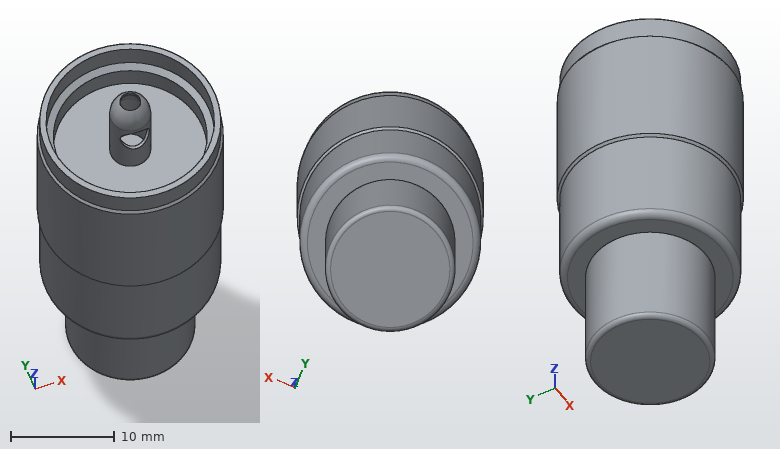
import cadquery as cq

total_height = 41.5
neck_radius = 6.25
neck_top = 11.37
neck_fillet = 0.5
body_radius = 8.75
body_fillet = 0.75
band_radius = 9.0
band_bottom = 21.85
band_top = 35.6
band_chamfer = band_radius - body_radius
rim_height = 37.97

mouth_radius = 8.15
mouth_depth = 2.45
recess_radius = 7.43
taper_height = 0.37
recess_depth = 5.15

pin_radius = 2.0
pin_wall = 0.35
nose_base = total_height - 2.15
tip_hole_radius = pin_radius / 2
tip_lip = 0.37
cross_hole_radius = 1.5
cross_hole_drop = 0.55


def cylinder(radius, bottom, top):
    """Upright cylinder on the part axis."""
    return cq.Workplane("XY").workplane(offset=bottom).circle(radius).extrude(top - bottom)


def outer_body():
    neck = cylinder(neck_radius, 0, neck_top).faces("<Z").edges().fillet(neck_fillet)
    body = cylinder(body_radius, neck_top, rim_height).faces("<Z").edges().fillet(body_fillet)
    band = cylinder(band_radius, band_bottom, band_top).edges().chamfer(band_chamfer)
    return neck.union(body).union(band)


def recess():
    """Wide mouth narrowing through a short taper to a straight bore."""
    mouth_bottom = rim_height - mouth_depth
    floor = rim_height - recess_depth
    return (
        cq.Workplane("XZ")
        .moveTo(0, floor)
        .lineTo(recess_radius, floor)
        .lineTo(recess_radius, mouth_bottom - taper_height)
        .lineTo(mouth_radius, mouth_bottom)
        .lineTo(mouth_radius, rim_height)
        .lineTo(0, rim_height)
        .close()
        .revolve(360, (0, 0), (0, 1))
    )


def nosed_shape(radius, tip_radius, tip_height):
    """Round shape from the recess floor, curving inward above the nose base to a flat tip."""
    floor = rim_height - recess_depth
    return (
        cq.Workplane("XZ")
        .moveTo(0, floor)
        .lineTo(radius, floor)
        .lineTo(radius, nose_base)
        .tangentArcPoint((tip_radius, tip_height), relative=False)
        .lineTo(0, tip_height)
        .close()
        .revolve(360, (0, 0), (0, 1))
    )


def pin():
    """Thin-walled hollow pin, open at the tip and through a cross hole in its -Y side."""
    shell = nosed_shape(pin_radius, tip_hole_radius, total_height)
    cavity = nosed_shape(pin_radius - pin_wall, tip_hole_radius, total_height - tip_lip)
    tip_hole = cylinder(tip_hole_radius, nose_base, total_height)
    cross_hole = (
        cq.Workplane("XZ")
        .center(0, rim_height - cross_hole_drop)
        .circle(cross_hole_radius)
        .extrude(pin_radius)
    )
    return shell.cut(cavity).cut(tip_hole).cut(cross_hole)


result = outer_body().cut(recess()).union(pin())